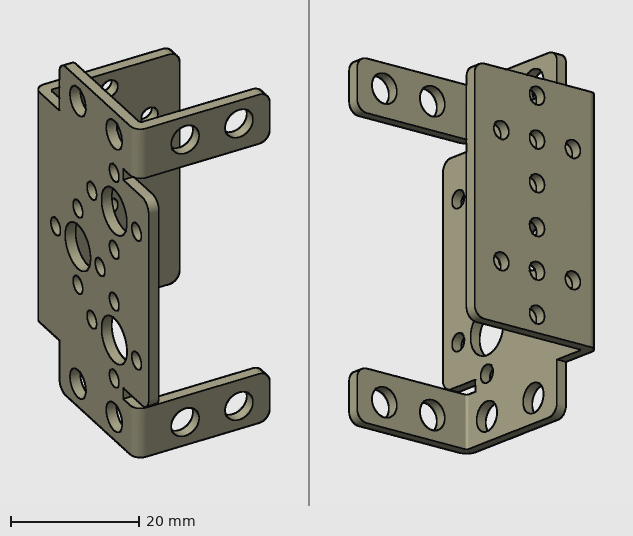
import cadquery as cq

height = 60.0
web_width = 36.0
left_flange_depth = 25.0
right_flange_depth = 24.0
web_thickness = 1.85
flange_thickness = 2.0
outer_bend_radius = 1.8
inner_bend_radius = 0.4
corner_radius = 2.0

end_tab_height = 9.0
end_tab_left = 8.0
right_flange_outer = 32.05
notch_left = 28.0
notch_height = 2.0
shoulder = height / 2 - end_tab_height
side_tab_half_height = shoulder - notch_height

screw_diameter = 3.0
mount_diameter = 5.0
bore_diameter = 8.0

left_column = 13.8
right_column = 25.2
mount_level = 25.8
right_bore_level = 11.75
right_bore_screw_offset = 7.0
left_bore_level = -0.8
left_bore_screw_offset = 6.95

flange_screw_pitch = 7.2
flange_screw_rows = 6
flange_screw_center_depth = 12.4
right_flange_mount_depths = (8.8, 18.5)


def block(x_range, y_range, z_range):
    """Box spanning the given (low, high) ranges."""
    lows, highs = zip(x_range, y_range, z_range)
    sizes = [high - low for low, high in zip(lows, highs)]
    return cq.Workplane("XY").box(*sizes, centered=False).translate(lows)


def web_cutter(points, diameter):
    """Cylinders through the web at (x, z) points."""
    cutter = cq.Workplane("XZ").pushPoints(points).circle(diameter / 2)
    return cutter.extrude(-web_thickness)


def flange_cutter(points, diameter, outer_face, direction):
    """Cylinders through one flange at (y, z) points."""
    cutter = cq.Workplane("YZ", origin=(outer_face, 0, 0)).pushPoints(points)
    return cutter.circle(diameter / 2).extrude(direction * flange_thickness)


def screw_ring(x, z, offset):
    """Centers of the four screws around a bore."""
    return [(x - offset, z), (x + offset, z), (x, z - offset), (x, z + offset)]


def bend(outer_face, direction, z_range):
    """Fillet material for the inside of a bend, and the sharp outer edge to cut away."""
    def spandrel(x, y, radius):
        """Corner sliver at (x, y), outside an arc tangent to both faces."""
        x_end = x + direction * radius
        y_end = y + radius
        square = block(sorted((x, x_end)), (y, y_end), z_range)
        rod = cq.Workplane("XY", origin=(x_end, y_end, z_range[0])).circle(radius)
        return square.cut(rod.extrude(z_range[1] - z_range[0]))

    inner_face = outer_face + direction * flange_thickness
    fill = spandrel(inner_face, web_thickness, inner_bend_radius)
    waste = spandrel(outer_face, 0, outer_bend_radius)
    return fill, waste


def flange(outer_face, direction, depth, z_range):
    """Flange plate with its two free corners rounded; direction is the inward sign along X."""
    x_range = sorted((outer_face, outer_face + direction * flange_thickness))
    plate = block(x_range, (0, depth), z_range)
    return plate.faces(">Y").edges("|X").fillet(corner_radius)


web_depth_range = (0, web_thickness)
web = block((0, notch_left), web_depth_range, (-shoulder, shoulder))
end_tabs = block((end_tab_left, right_flange_outer), web_depth_range, (-height / 2, height / 2))
end_tabs = end_tabs.faces("<X").edges("|Y").fillet(corner_radius)
notch_zone = block((notch_left, right_flange_outer), web_depth_range, (-shoulder, shoulder))
side_tab = block(
    (end_tab_left, web_width), web_depth_range, (-side_tab_half_height, side_tab_half_height)
)
side_tab = side_tab.faces(">X").edges("|Y").fillet(corner_radius)
bracket = web.union(end_tabs.cut(notch_zone)).union(side_tab)

flanges = [
    (0, 1, left_flange_depth, (-shoulder, shoulder)),
    (right_flange_outer, -1, right_flange_depth, (shoulder, height / 2)),
    (right_flange_outer, -1, right_flange_depth, (-height / 2, -shoulder)),
]
for outer_face, direction, depth, z_range in flanges:
    fill, waste = bend(outer_face, direction, z_range)
    bracket = bracket.union(flange(outer_face, direction, depth, z_range))
    bracket = bracket.union(fill).cut(waste)

right_bores = [(right_column, z) for z in (-right_bore_level, right_bore_level)]
bores = [(left_column, left_bore_level)] + right_bores
web_screws = screw_ring(left_column, left_bore_level, left_bore_screw_offset)
for x, z in right_bores:
    web_screws += screw_ring(x, z, right_bore_screw_offset)
web_mounts = [
    (x, z) for x in (left_column, right_column) for z in (-mount_level, mount_level)
]
bracket = bracket.cut(web_cutter(bores, bore_diameter))
bracket = bracket.cut(web_cutter(web_screws, screw_diameter))
bracket = bracket.cut(web_cutter(web_mounts, mount_diameter))

row_levels = [
    (row - (flange_screw_rows - 1) / 2) * flange_screw_pitch for row in range(flange_screw_rows)
]
flange_screws = [(flange_screw_center_depth, z) for z in row_levels]
for z in (row_levels[1], row_levels[-2]):
    for side in (-1, 1):
        flange_screws.append((flange_screw_center_depth + side * flange_screw_pitch, z))
bracket = bracket.cut(flange_cutter(flange_screws, screw_diameter, 0, 1))

flange_mounts = [
    (y, z) for y in right_flange_mount_depths for z in (-mount_level, mount_level)
]
bracket = bracket.cut(flange_cutter(flange_mounts, mount_diameter, right_flange_outer, -1))

result = bracket